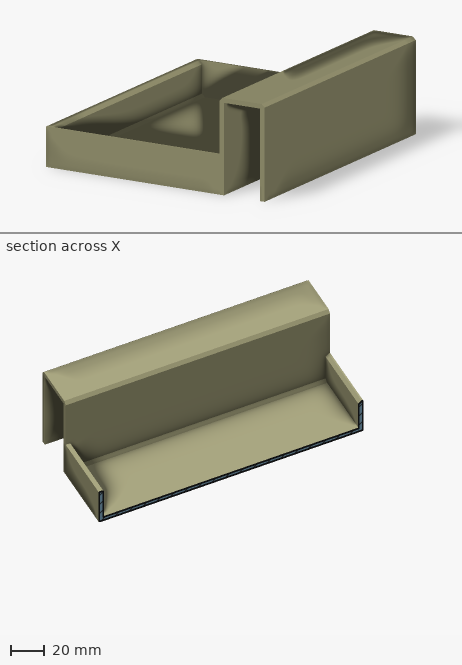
import cadquery as cq

length = 151.0
width = 175.0
height = 60.0

wall = 3.0
end_wall = 5.0
floor = 3.0
tray_height = 25.0
hook_gap = 25.0
chamfer = 2.0

hook_start = length - hook_gap - 2 * wall
tray_length = hook_start + wall

rim_base = tray_height - chamfer


def block(x_start, x_end, y_start, y_end, z_start, z_end):
    """Axis-aligned block between the given limits."""
    size = (x_end - x_start, y_end - y_start, z_end - z_start)
    return cq.Workplane("XY").box(*size, centered=False).translate((x_start, y_start, z_start))


def tray_pocket():
    """Cavity of the tray, with its floor corners bevelled along both Y-running walls."""
    pocket = block(end_wall, hook_start, wall, width - wall, floor, tray_height)
    return pocket.edges("|Y and <Z").chamfer(chamfer)


def rim_bevel():
    """Cutter that bevels the inner rim of the -X and -Y walls, mitred at their corner."""
    bottom = [
        (end_wall, wall),
        (hook_start, wall),
        (hook_start, width - wall),
        (end_wall, width - wall),
    ]
    top = [
        (end_wall - chamfer, wall - chamfer),
        (hook_start, wall - chamfer),
        (hook_start, width - wall),
        (end_wall - chamfer, width - wall),
    ]
    lower = cq.Workplane("XY").workplane(offset=rim_base).polyline(bottom).close()
    return lower.workplane(offset=chamfer).polyline(top).close().loft(ruled=True)


def tray():
    body = block(0, tray_length, 0, width, 0, tray_height)
    return body.cut(tray_pocket()).cut(rim_bevel())


def hook():
    """Inverted U along the +X side, bevelled along its two top edges."""
    body = block(hook_start, length, 0, width, 0, height).edges("|Y and >Z").chamfer(chamfer)
    gap = block(tray_length, length - wall, 0, width, 0, height - wall)
    return body.cut(gap)


result = tray().union(hook())